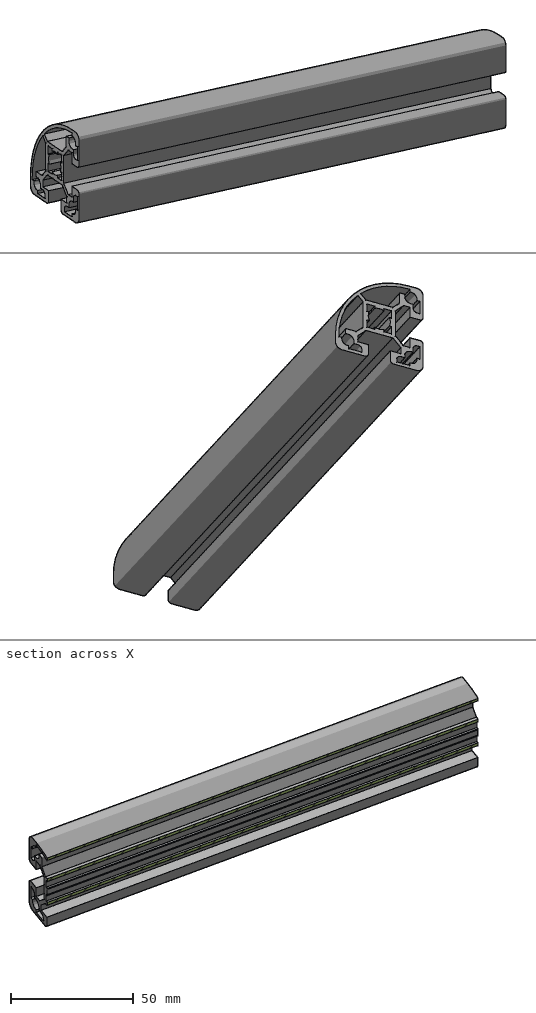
import cadquery as cq
import math

length = 200.0
half_size = 20.0
corner_radius = 3.0
shell_radius = 33.5
shell_wall = 1.5

tube_half = 7.5
tube_wall = 1.8
pad_width = 4.2
bore_radius = 5.0
web_thickness = 1.8

slot_half_mouth = 5.0
slot_half_width = 9.8
slot_lip_depth = 6.0
mouth_radius = 1.5

lip_wall = 1.5
cavity_start = 8.0
cavity_fillet = 1.8
hook_tip = 15.5
free_hook_side = 9.2
free_hook_radius = 0.5

channel_center = 14.5
channel_radius = 2.8
corner_wall_start = 14.0

slot_floor = half_size - slot_lip_depth
cavity_end = half_size - lip_wall
hook_side = channel_center - channel_radius
tube_inner_half = tube_half - tube_wall
web_offset = web_thickness / math.sqrt(2)


def mirrored(points):
    """Reflect (x, z) points across the symmetry line and reverse them, so they continue an outline."""
    return [(-z, -x) for x, z in reversed(points)]


def mirrored_solid(solid):
    """Turn a solid from the +Z side of the symmetry line over to the -X side."""
    return solid.rotate((0, 0, 0), (1, 0, -1), 180)


def prism(points):
    return cq.Workplane("XZ").polyline(points).close().extrude(length / 2, both=True)


def bar(x_size, z_size):
    return cq.Workplane("XZ").rect(x_size, z_size).extrude(length / 2, both=True)


def rod(x, z, radius):
    return cq.Workplane("XZ").center(x, z).circle(radius).extrude(length / 2, both=True)


def round_edge(solid, x, z, radius):
    """Fillet the lengthwise edge at (x, z)."""
    near = 0.02
    edge_box = cq.selectors.BoxSelector((x - near, -near, z - near), (x + near, near, z + near))
    return solid.edges(edge_box).fillet(radius)


def quarter_round(inset):
    """Quarter-round bar with all its faces moved inward by inset."""
    face = half_size - inset
    radius = shell_radius - inset
    arc_center = half_size - shell_radius
    arc_reach = radius * math.sqrt(0.5)
    arc_middle = (-arc_center - arc_reach, arc_center + arc_reach)
    return (
        cq.Workplane("XZ")
        .moveTo(face, -face)
        .lineTo(face, face)
        .lineTo(-arc_center, face)
        .threePointArc(arc_middle, (-face, arc_center))
        .lineTo(-face, -face)
        .close()
        .extrude(length / 2, both=True)
    )


def blank():
    """Solid quarter-round bar with rounded corners."""
    solid = quarter_round(0)
    for x, z in [(half_size, half_size), (half_size, -half_size), (-half_size, -half_size)]:
        solid = round_edge(solid, x, z, corner_radius)
    return solid


def slot():
    """T-slot of the +X face; its inner flanks run along the diagonal webs to the tube."""
    upper_half = [
        (half_size, slot_half_mouth),
        (slot_floor, slot_half_mouth),
        (slot_floor, slot_half_width),
        (slot_half_width + web_offset, slot_half_width),
        (tube_half, tube_half - web_offset),
    ]
    lower_half = [(x, -z) for x, z in reversed(upper_half)]
    return prism(upper_half + lower_half)


def corner_cavity():
    """Closed cavity in the corner between the two slots."""
    right_half = [
        (corner_wall_start, -corner_wall_start),
        (cavity_end, -corner_wall_start),
        (cavity_end, -cavity_start),
        (hook_tip, -cavity_start),
        (hook_tip, -hook_side),
        (channel_center, -hook_side),
    ]
    solid = prism(right_half + mirrored(right_half[1:]))
    solid = round_edge(solid, hook_tip, -cavity_start, cavity_fillet)
    solid = round_edge(solid, cavity_start, -hook_tip, cavity_fillet)
    return solid.union(rod(channel_center, -channel_center, channel_radius))


def shell_cavity():
    """Cavity under the +Z half of the shell, from the upper left web round to the +X slot lip."""
    outline = [
        (-half_size + web_offset, half_size),
        (-tube_half + web_offset, tube_half),
        (tube_half - web_offset, tube_half),
        (free_hook_side, free_hook_side + web_offset),
        (free_hook_side, hook_tip),
        (hook_side, hook_tip),
        (hook_side, channel_center),
        (channel_center, hook_side),
        (hook_tip, hook_side),
        (hook_tip, cavity_start),
        (cavity_end, cavity_start),
        (cavity_end, corner_wall_start),
        (corner_wall_start, corner_wall_start),
        (corner_wall_start, half_size),
    ]
    solid = round_edge(prism(outline), hook_tip, cavity_start, cavity_fillet)
    solid = round_edge(solid, free_hook_side, hook_tip, free_hook_radius)
    solid = solid.union(rod(channel_center, channel_center, channel_radius))
    return solid.intersect(quarter_round(shell_wall))


def tube_bore():
    """Square tube opening, less the four pads with their shared round bore."""
    opening = 2 * tube_inner_half
    pads = bar(opening, pad_width).union(bar(pad_width, opening))
    bore = rod(0, 0, bore_radius)
    return bar(opening, opening).cut(pads.cut(bore))


result = blank().cut(tube_bore()).cut(corner_cavity())
for void in (slot(), shell_cavity()):
    result = result.cut(void).cut(mirrored_solid(void))
for side in (-1, 1):
    result = round_edge(result, half_size, side * slot_half_mouth, mouth_radius)
    result = round_edge(result, side * slot_half_mouth, -half_size, mouth_radius)